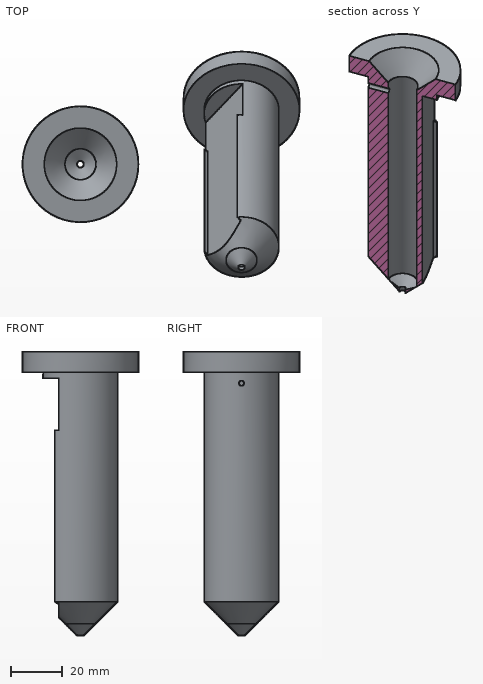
import cadquery as cq
import math

total_length = 110.0
flange_diameter = 45.0
flange_thickness = 8.0
barrel_diameter = 29.0
mouth_diameter = 28.0
bore_diameter = 12.0
outlet_diameter = 2.5
outlet_land = 2.0
bore_floor_slope = 30

flat_distance = 8.5
slot_width = 21.0
shoulder_height = 2.3
relief_length = 20.0

side_hole_diameter = 2.0
side_hole_drop = 4.2

flange_radius = flange_diameter / 2
barrel_radius = barrel_diameter / 2
mouth_radius = mouth_diameter / 2
bore_radius = bore_diameter / 2
outlet_radius = outlet_diameter / 2

tip_height = barrel_radius - outlet_radius
mouth_depth = mouth_radius - bore_radius
bore_bottom = outlet_land + (bore_radius - outlet_radius) * math.tan(math.radians(bore_floor_slope))

flange_bottom = total_length - flange_thickness
flat_top = flange_bottom - shoulder_height
relief_bottom = flat_top - relief_length


def make_body():
    """Hollow turned body, revolved from its half section in the XZ plane."""
    half_section = (
        cq.Workplane("XZ")
        .moveTo(outlet_radius, 0)
        .lineTo(barrel_radius, tip_height)
        .lineTo(barrel_radius, flange_bottom)
        .lineTo(flange_radius, flange_bottom)
        .lineTo(flange_radius, total_length)
        .lineTo(mouth_radius, total_length)
        .lineTo(bore_radius, total_length - mouth_depth)
        .lineTo(bore_radius, bore_bottom)
        .lineTo(outlet_radius, outlet_land)
        .close()
    )
    return half_section.revolve(360, (0, 0, 0), (0, 1, 0))


def side_cutter(width, bottom, top):
    """Block that removes everything beyond the flat over a width and a height range."""
    return (
        cq.Workplane("XY", origin=(-flat_distance - barrel_radius, 0, bottom))
        .box(barrel_radius, width, top - bottom, centered=(False, True, False))
    )


def side_hole_cutter():
    """Pin from the axis outward through the +X wall."""
    return (
        cq.Workplane("YZ", origin=(0, 0, flange_bottom - side_hole_drop))
        .circle(side_hole_diameter / 2)
        .extrude(flange_radius)
    )


slot = side_cutter(slot_width, 0, flat_top)
relief = side_cutter(flange_diameter, relief_bottom, flat_top)

result = make_body().cut(slot).cut(relief).cut(side_hole_cutter())